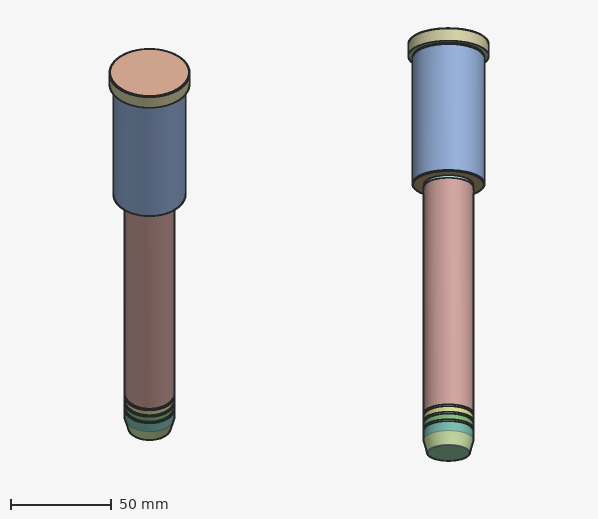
import cadquery as cq
import math

total_length = 220.0
head_diameter = 40.0
head_height = 7.0
head_chamfer = 0.5

shank_diameter = 36.0
shank_end_depth = 76.0
shank_chamfer = 0.5

pin_diameter = 25.0

head_relief_depth = 0.5
head_relief_width = 1.0
shank_relief_depth = 0.25
shank_relief_width = 1.5

taper_length = 7.0
taper_angle = 15.0
tip_fillet = 0.5

groove_count = 3
groove_pitch = 4.0
groove_radius = 0.5
first_groove_z = 12.5

head_radius = head_diameter / 2
shank_radius = shank_diameter / 2
pin_radius = pin_diameter / 2
tip_radius = pin_radius - taper_length * math.tan(math.radians(taper_angle))
head_bottom_z = total_length - head_height
shank_top_z = head_bottom_z - head_relief_width
shank_bottom_z = total_length - shank_end_depth
pin_top_z = shank_bottom_z - shank_relief_width


def cylinder(radius, bottom_z, top_z):
    """Solid cylinder on the Z axis between two heights."""
    return cq.Workplane("XY").workplane(offset=bottom_z).circle(radius).extrude(top_z - bottom_z)


def revolve_about_axis(profile):
    """Full turn of an XZ profile about the Z axis."""
    return profile.close().revolve(360, (0, 0, 0), (0, 1, 0))


def ring(tube_radius, ring_radius, center_z):
    """Solid torus centred on the Z axis."""
    tube = cq.Workplane("XZ").moveTo(ring_radius, center_z).circle(tube_radius)
    return tube.revolve(360, (0, 0, 0), (0, 1, 0))


def make_neck(radius, depth, bottom_z, top_z):
    """Relief neck that flares at its lower end, in a concave arc, out to the given radius."""
    neck_radius = radius - depth
    flare_offset = depth * (1 - math.cos(math.radians(45)))
    profile = (
        cq.Workplane("XZ")
        .moveTo(0, bottom_z)
        .lineTo(radius, bottom_z)
        .threePointArc(
            (neck_radius + flare_offset, bottom_z + flare_offset),
            (neck_radius, bottom_z + depth),
        )
        .lineTo(neck_radius, top_z)
        .lineTo(0, top_z)
    )
    return revolve_about_axis(profile)


def make_head():
    """Head disc with a chamfered top rim."""
    return cylinder(head_radius, head_bottom_z, total_length).faces(">Z").edges().chamfer(head_chamfer)


def make_shank():
    """Shank with a chamfered lower rim, plus the relief neck joining it to the head."""
    shank = cylinder(shank_radius, shank_bottom_z, shank_top_z).faces("<Z").edges().chamfer(shank_chamfer)
    neck = make_neck(shank_radius, head_relief_depth, shank_top_z, head_bottom_z)
    return shank.union(neck)


def make_pin():
    """Guide pin with its conical tip, plus the relief neck joining it to the shank."""
    tip_profile = (
        cq.Workplane("XZ")
        .lineTo(tip_radius, 0)
        .lineTo(pin_radius, taper_length)
        .lineTo(0, taper_length)
    )
    tip = revolve_about_axis(tip_profile).faces("<Z").edges().fillet(tip_fillet)
    pin = cylinder(pin_radius, taper_length, pin_top_z)
    neck = make_neck(pin_radius, shank_relief_depth, pin_top_z, shank_bottom_z)
    return tip.union(pin).union(neck)


def make_groove(center_z):
    """Ring that cuts a half-round groove into the pin surface."""
    return ring(groove_radius, pin_radius, center_z)


result = make_head().union(make_shank()).union(make_pin())
for index in range(groove_count):
    result = result.cut(make_groove(first_groove_z + index * groove_pitch))